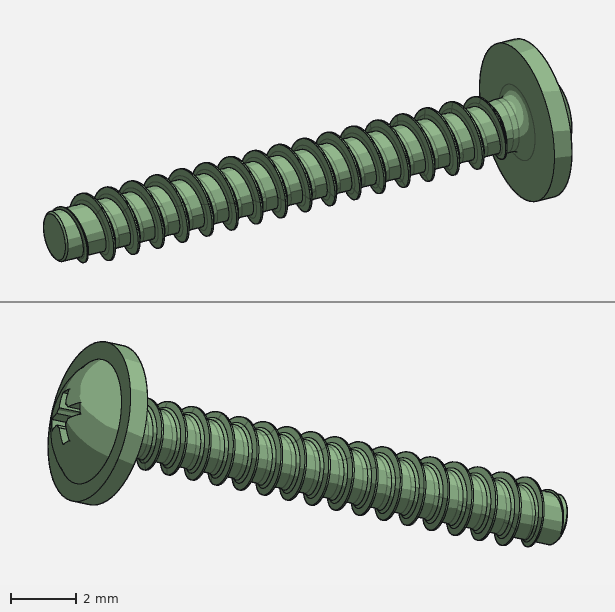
import cadquery as cq
import math


flange_radius = 2.5
flange_thickness = 0.61
head_height = 1.6
dome_base_radius = 1.95
total_length = 17.57
shank_length = 16.0
recess_top_height = total_length - shank_length

recess_arm_width = 0.38
recess_arm_length = 1.7
recess_depth = 0.8
recess_core_height = head_height - recess_top_height

neck_radius = 0.845
core_radius = 0.793
seat_fillet_radius = 0.36
neck_end = -0.56
neck_taper_end = -0.89
tip_chamfer = 0.06

crest_radius = 1.11
pitch = 0.85
crest_width = 0.06
knee_width = 0.18
knee_radius = 0.91
lower_root_offset = 0.155
upper_bend_radius = 0.83
upper_bend_offset = 0.18
upper_root_radius = 0.775
upper_root_offset = 0.39
root_radius = 0.74
first_crest = -0.91
first_turn = -0.75
last_turn = 17.7
thread_segments = 36
points_per_segment = 24

fade_in_start = -0.5
fade_in_start_height = 0.2
fade_in_end = -1.33
fade_out_start = -14.77
fade_out_end = -16.1


def dome_sphere_radius():
    """Sphere radius of the cap that spans the dome base circle."""
    dome_height = head_height - flange_thickness
    return (dome_base_radius**2 + dome_height**2) / (2 * dome_height)


def revolve_about_axis(outline):
    return outline.close().revolve(360, (0, 0, 0), (0, 1, 0))


def make_blank():
    """Head, neck and unthreaded core as one turned body."""
    sphere_radius = dome_sphere_radius()
    sphere_centre = head_height - sphere_radius
    half_angle = math.asin(dome_base_radius / sphere_radius) / 2
    dome_middle = (
        sphere_radius * math.sin(half_angle),
        sphere_centre + sphere_radius * math.cos(half_angle),
    )
    fillet_centre_radius = neck_radius + seat_fillet_radius
    fillet_offset = seat_fillet_radius * math.sqrt(0.5)
    fillet_middle = (
        fillet_centre_radius - fillet_offset,
        fillet_offset - seat_fillet_radius,
    )
    outline = (
        cq.Workplane("XY")
        .moveTo(0, head_height)
        .threePointArc(dome_middle, (dome_base_radius, flange_thickness))
        .lineTo(flange_radius, flange_thickness)
        .lineTo(flange_radius, 0)
        .lineTo(fillet_centre_radius, 0)
        .threePointArc(fillet_middle, (neck_radius, -seat_fillet_radius))
        .lineTo(neck_radius, neck_end)
        .lineTo(core_radius, neck_taper_end)
        .lineTo(core_radius, tip_chamfer - shank_length)
        .lineTo(core_radius - tip_chamfer, -shank_length)
        .lineTo(0, -shank_length)
    )
    return revolve_about_axis(outline)


def make_recess():
    """Cross of two equal arms with a round core, sunk from the top of the dome."""
    sphere_radius = dome_sphere_radius()
    core_opening_radius = math.sqrt(sphere_radius**2 - (sphere_radius - recess_core_height) ** 2)
    plane = cq.Workplane("XZ", origin=(0, head_height, 0))
    core = plane.circle(core_opening_radius).extrude(recess_depth)
    centre = (0, head_height - recess_depth / 2, 0)
    arm_x = cq.Workplane("XY").box(recess_arm_length, recess_depth, recess_arm_width).translate(centre)
    arm_z = cq.Workplane("XY").box(recess_arm_width, recess_depth, recess_arm_length).translate(centre)
    return core.union(arm_x).union(arm_z)


def ridge_scale(y):
    """Size of the ridge section at axial place y, as a fraction of the full section."""
    full_height = crest_radius - root_radius
    start_scale = fade_in_start_height / full_height
    fade_in = start_scale + (1 - start_scale) * (fade_in_start - y) / (fade_in_start - fade_in_end)
    fade_out = (y - fade_out_end) / (fade_out_start - fade_out_end)
    return min(fade_in, fade_out, 1)


def ridge_point(corner, turn):
    """Place of one section corner (radius, axial offset) after a number of turns."""
    radius, offset = corner
    crest_place = first_crest - turn * pitch
    scale = ridge_scale(crest_place)
    scaled_radius = root_radius + (radius - root_radius) * scale
    angle = 2 * math.pi * turn
    return cq.Vector(
        scaled_radius * math.cos(angle),
        crest_place + offset * scale,
        scaled_radius * math.sin(angle),
    )


def ridge_edge(corner, start_turn, end_turn):
    step = (end_turn - start_turn) / points_per_segment
    return cq.Edge.makeSpline(
        [ridge_point(corner, start_turn + step * i) for i in range(points_per_segment + 1)]
    )


def make_thread():
    """Helical ridge with a flared upper flank, cut flat where the neck taper starts."""
    section = [
        (root_radius, -lower_root_offset),
        (knee_radius, -knee_width / 2),
        (crest_radius, -crest_width / 2),
        (crest_radius, crest_width / 2),
        (knee_radius, knee_width / 2),
        (upper_bend_radius, upper_bend_offset),
        (upper_root_radius, upper_root_offset),
    ]

    segment_turns = (last_turn - first_turn) / thread_segments
    faces = []
    for segment in range(thread_segments):
        start_turn = first_turn + segment * segment_turns
        edges = [ridge_edge(corner, start_turn, start_turn + segment_turns) for corner in section]
        following_edges = edges[1:] + edges[:1]
        for edge, following_edge in zip(edges, following_edges):
            faces.append(cq.Face.makeRuledSurface(edge, following_edge))
    for turn in (first_turn, last_turn):
        end_corners = [ridge_point(corner, turn) for corner in section]
        faces.append(cq.Face.makeFromWires(cq.Wire.makePolygon(end_corners, close=True)))

    ridge = cq.Workplane(cq.Solid.makeSolid(cq.Shell.makeShell(faces)))
    above_neck_end = (
        cq.Workplane("XZ", origin=(0, neck_end, 0)).circle(flange_radius).extrude(-pitch)
    )
    return ridge.cut(above_neck_end)


result = make_blank().cut(make_recess()).union(make_thread())